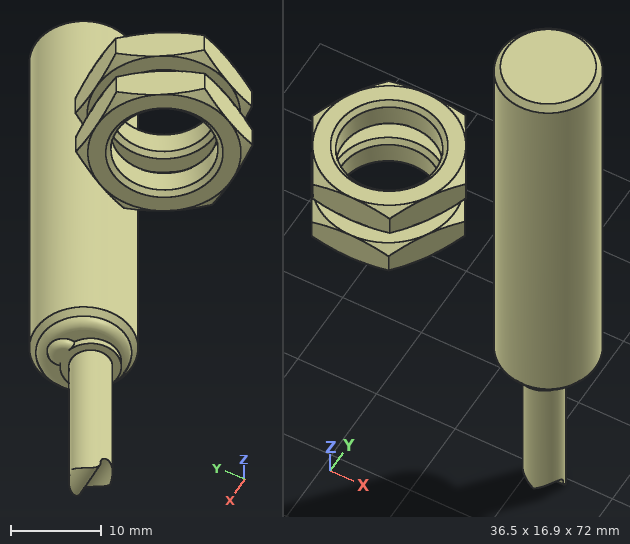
import cadquery as cq
import math

overall_height = 72.0
barrel_diameter = 12.0
barrel_bottom = 22.7
top_chamfer = 0.7
bottom_chamfer = 0.7

cap_diameter = 10.6
cap_round = 1.1

cable_diameter = 4.8
cable_y = -0.9
collar_diameter = 6.8
collar_bottom = 20.0

lamp_diameter = 3.6
lamp_y = 2.5
lamp_round = 0.7

nut_across_flats = 16.9
nut_thickness = 4.0
nut_bore_diameter = 11.8
nut_countersink = 0.6
nut_corner_angle = 30.0
nut_y = 0.65
lower_nut_x = -20.7
upper_nut_x = -20.6
lower_nut_z = 36.0
upper_nut_z = 42.7

barrel_radius = barrel_diameter / 2
cap_radius = cap_diameter / 2
cap_top = barrel_bottom - bottom_chamfer
cap_bottom = cap_top - cap_round


def make_barrel():
    """Turned barrel with its chamfers and the rounded end cap below it."""
    round_middle = cap_round * math.sqrt(0.5)
    return (
        cq.Workplane("XZ")
        .moveTo(0, cap_bottom)
        .lineTo(cap_radius - cap_round, cap_bottom)
        .threePointArc(
            (cap_radius - cap_round + round_middle, cap_top - round_middle),
            (cap_radius, cap_top),
        )
        .lineTo(barrel_radius, barrel_bottom)
        .lineTo(barrel_radius, overall_height - top_chamfer)
        .lineTo(barrel_radius - top_chamfer, overall_height)
        .lineTo(0, overall_height)
        .close()
        .revolve(360, (0, 0), (0, 1))
    )


def round_post(diameter, y, bottom, top):
    """Vertical cylinder on the x = 0 plane."""
    return (
        cq.Workplane("XY", origin=(0, y, bottom))
        .circle(diameter / 2)
        .extrude(top - bottom)
    )


def make_cable():
    """Cable whose end is cut to an S-shaped break of two half circles."""
    cable_radius = cable_diameter / 2
    wave_radius = cable_radius / 2
    front = cable_y - cable_radius
    back = cable_y + cable_radius
    break_profile = (
        cq.Workplane("YZ")
        .moveTo(front, wave_radius)
        .threePointArc((cable_y - wave_radius, 2 * wave_radius), (cable_y, wave_radius))
        .threePointArc((cable_y + wave_radius, 0), (back, wave_radius))
        .lineTo(back, collar_bottom)
        .lineTo(front, collar_bottom)
        .close()
        .extrude(cable_radius, both=True)
    )
    return round_post(cable_diameter, cable_y, 0, collar_bottom).intersect(break_profile)


def make_sensor():
    """Barrel, collar, lamp and cable as one solid."""
    collar = round_post(collar_diameter, cable_y, collar_bottom, cap_top)
    lamp = round_post(lamp_diameter, lamp_y, collar_bottom, cap_top).faces("<Z").edges().fillet(lamp_round)
    return make_barrel().union(collar).union(lamp).union(make_cable())


def make_nut(x, z):
    """Hexagon nut centred at height z, with two corners along X."""
    corner_radius = nut_across_flats / math.sqrt(3)
    flat_radius = nut_across_flats / 2
    half_thickness = nut_thickness / 2
    corner_drop = (corner_radius - flat_radius) * math.tan(math.radians(nut_corner_angle))
    hexagon = (
        cq.Workplane("XY", origin=(0, 0, -half_thickness))
        .polygon(6, 2 * corner_radius)
        .extrude(nut_thickness)
    )
    corner_envelope = (
        cq.Workplane("XZ")
        .moveTo(0, -half_thickness)
        .lineTo(flat_radius, -half_thickness)
        .lineTo(corner_radius, -half_thickness + corner_drop)
        .lineTo(corner_radius, half_thickness - corner_drop)
        .lineTo(flat_radius, half_thickness)
        .lineTo(0, half_thickness)
        .close()
        .revolve(360, (0, 0), (0, 1))
    )
    bore = (
        cq.Workplane("XY", origin=(0, 0, -half_thickness))
        .circle(nut_bore_diameter / 2 + nut_countersink)
        .extrude(nut_countersink, taper=45)
        .union(
            cq.Workplane("XY", origin=(0, 0, half_thickness))
            .circle(nut_bore_diameter / 2 + nut_countersink)
            .extrude(-nut_countersink, taper=45)
        )
        .union(
            cq.Workplane("XY", origin=(0, 0, -half_thickness))
            .circle(nut_bore_diameter / 2)
            .extrude(nut_thickness)
        )
    )
    return hexagon.intersect(corner_envelope).cut(bore).translate((x, nut_y, z))


sensor = make_sensor()
nuts = [make_nut(x, z) for x, z in [(lower_nut_x, lower_nut_z), (upper_nut_x, upper_nut_z)]]

result = cq.Compound.makeCompound([sensor.val(), *[nut.val() for nut in nuts]])